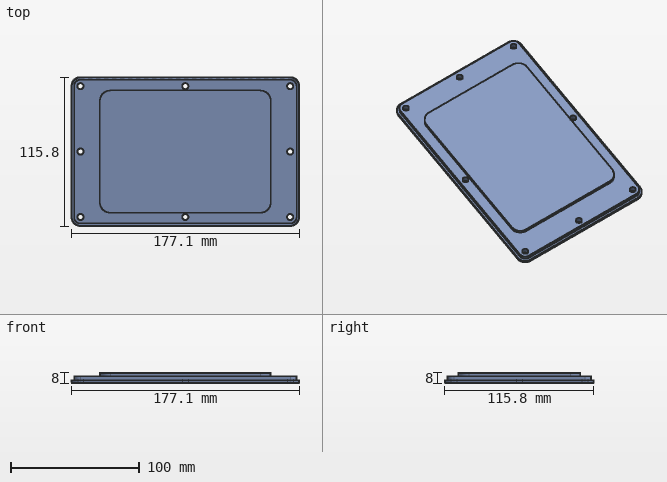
import cadquery as cq

flange_length = 177.1
flange_width = 115.8
flange_thickness = 2.5
flange_chamfer_height = 1.0
flange_chamfer_inset = 0.3

ledge_width = 2.05
plate_thickness = 3.0
plate_corner_radius = 5.0

pad_length = 132.8
pad_width = 95.0
pad_corner_radius = 8.0
total_height = 8.0

hole_diameter = 4.6
hole_edge_distance = 5.0

flange_corner_radius = plate_corner_radius + ledge_width
plate_length = flange_length - 2 * ledge_width
plate_width = flange_width - 2 * ledge_width
plate_top = flange_thickness + plate_thickness
pad_thickness = total_height - plate_top
hole_x = plate_length / 2 - hole_edge_distance
hole_y = plate_width / 2 - hole_edge_distance


def rounded_slab(length, width, thickness, corner_radius, base_z):
    """Centred rectangular slab with rounded vertical corners."""
    slab = cq.Workplane("XY").workplane(offset=base_z).rect(length, width).extrude(thickness)
    return slab.edges("|Z").fillet(corner_radius)


def make_flange():
    """Bottom flange with a chamfer around its lower edge."""
    flange = rounded_slab(flange_length, flange_width, flange_thickness, flange_corner_radius, 0)
    return flange.faces("<Z").edges().chamfer(flange_chamfer_height, flange_chamfer_inset)


def make_holes():
    """Through-hole cutters at the plate corners and the middle of each side."""
    centres = [
        (x, y)
        for x in (-hole_x, 0, hole_x)
        for y in (-hole_y, 0, hole_y)
        if (x, y) != (0, 0)
    ]
    return cq.Workplane("XY").pushPoints(centres).circle(hole_diameter / 2).extrude(total_height)


plate = rounded_slab(plate_length, plate_width, plate_thickness, plate_corner_radius, flange_thickness)
pad = rounded_slab(pad_length, pad_width, pad_thickness, pad_corner_radius, plate_top)

result = make_flange().union(plate).union(pad).cut(make_holes())